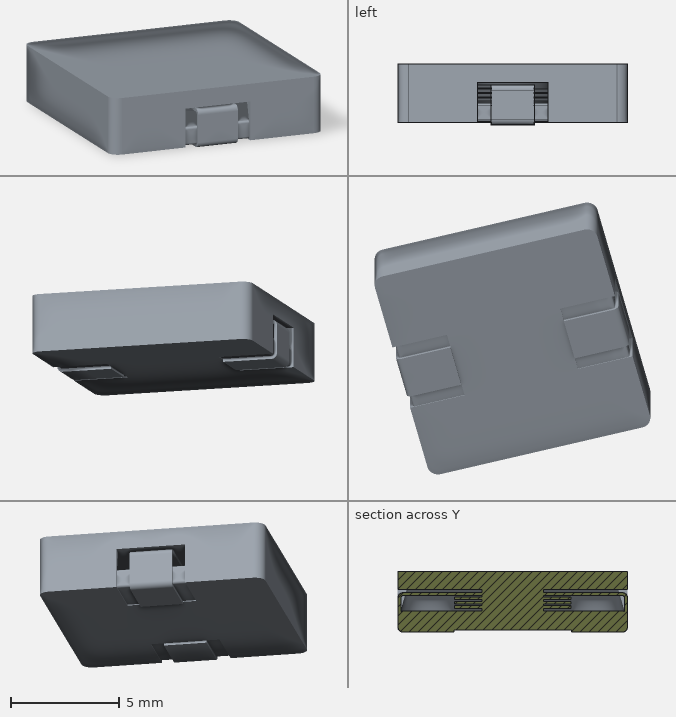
import math

import cadquery as cq

side = 10.6
height = 2.81
standoff = 0.11
corner_radius = 0.5
split_height = 1.01

strip_thickness = 0.15
strip_width = 1.99
strip_top = 1.84
foot_length = 2.6
inner_bend_radius = 0.11
outer_bend_radius = inner_bend_radius + strip_thickness

window_width = 3.23
window_top = 1.96

wall_at_base = strip_thickness
wall_at_ceiling = 0.42

core_diameter = 3.4
coil_diameter = 5.72
turn_pitch = 0.2
full_turns = 3

half_side = side / 2
seat_face = half_side - strip_thickness
lead_bottom = strip_top - strip_thickness


def block(x_min, x_max, width, z_min, z_max):
    """Block centred on Y between the given X and Z limits."""
    length = x_max - x_min
    return (
        cq.Workplane("XY", origin=((x_min + x_max) / 2, 0, z_min))
        .rect(length, width)
        .extrude(z_max - z_min)
    )


def housing_layer(z_min, z_max):
    layer = block(-half_side, half_side, side, z_min, z_max)
    return layer.edges("|Z").fillet(corner_radius)


def both_ends(left_body):
    return left_body.union(left_body.mirror("YZ"))


def make_base():
    """Lower housing with rounded seats that the terminals wrap around."""
    base = housing_layer(standoff, split_height)
    edge_recess = block(-half_side, -seat_face, window_width, standoff, split_height)
    foot_recess = block(-half_side, foot_length - half_side, window_width, standoff, strip_thickness)
    base = base.cut(both_ends(edge_recess.union(foot_recess)))

    def seat_edges(x, z):
        reach = window_width / 2
        margin = 0.01
        return cq.selectors.BoxSelector(
            (x - margin, -reach, z - margin), (x + margin, reach, z + margin)
        )

    for x in (-seat_face, seat_face):
        for z in (strip_thickness, split_height):
            base = base.edges("|Y").edges(seat_edges(x, z)).fillet(inner_bend_radius)
    return base


def make_cover():
    """Upper housing with a tapered cavity and a window at each terminal."""
    depth = window_top - split_height
    taper = math.degrees(math.atan((wall_at_ceiling - wall_at_base) / depth))
    opening = side - 2 * wall_at_base
    opening_outline = (
        cq.Sketch().rect(opening, opening).vertices().fillet(corner_radius - wall_at_base)
    )
    cavity = (
        cq.Workplane("XY", origin=(0, 0, split_height))
        .placeSketch(opening_outline)
        .extrude(depth, taper=taper)
    )
    windows = block(-half_side, half_side, window_width, split_height, window_top)
    return housing_layer(split_height, height).cut(cavity).cut(windows)


def make_terminal():
    """Left terminal: foot, upright and a lead running in to the core."""
    foot_end = foot_length - half_side
    outside = block(-half_side, foot_end, strip_width, 0, strip_top)
    outside = outside.edges("|Y and <X").fillet(outer_bend_radius)
    inside = block(-seat_face, foot_end, strip_width, strip_thickness, lead_bottom)
    inside = inside.edges("|Y and <X").fillet(inner_bend_radius)
    lead = block(foot_end, 0, strip_width, lead_bottom, strip_top)
    return outside.cut(inside).union(lead)


def make_winding():
    """Core with stacked flat turns; the top turn covers only the +Y half."""
    winding = (
        cq.Workplane("XY", origin=(0, 0, split_height))
        .circle(core_diameter / 2)
        .extrude(window_top - split_height)
    )
    for turn in range(full_turns + 1):
        turn_bottom = lead_bottom - turn * turn_pitch
        disc = (
            cq.Workplane("XY", origin=(0, 0, turn_bottom))
            .circle(coil_diameter / 2)
            .extrude(strip_thickness)
        )
        if turn == 0:
            back_half = block(-half_side, half_side, side, 0, height).translate((0, half_side, 0))
            disc = disc.intersect(back_half)
        winding = winding.union(disc)
    return winding


result = (
    make_base()
    .union(make_cover())
    .union(make_winding())
    .union(both_ends(make_terminal()))
)